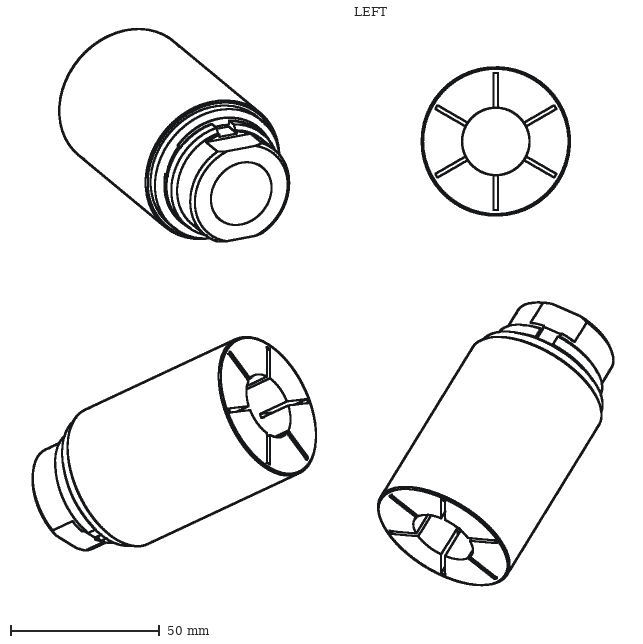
import cadquery as cq
import math

length = 90.2
body_end = 68.4
collar_end = 71.7
groove_floor_end = 73.6
groove_end = 74.0
land_end = 77.7
flat_start = 80.2

bore_radius = 22.6 / 2
body_radius = 50.0 / 2
collar_radius = 46.7 / 2
groove_radius = 19.3
land_radius = 20.1
neck_radius = 18.5

body_chamfer = 0.5
end_chamfer = 1.2
land_chamfer = land_radius - neck_radius
land_chamfer_length = 1.2

slot_count = 6
slot_width = 1.4
slot_reach = 23.1
slot_depth = 12.0

flat_height = 16.5
keyway_height = 17.5
keyway_width = 6.5

wire_radius = 1.3
ring_outer_radius = 20.6
ring_offset = 0.4
ring_x = 72.7
gap_start_angle = 10.6
gap_end_angle = 41.8


def turned_body():
    """Stepped sleeve with a through bore, revolved about the X axis."""
    profile = [
        (0, bore_radius),
        (0, body_radius - body_chamfer),
        (body_chamfer, body_radius),
        (body_end - body_chamfer, body_radius),
        (body_end, body_radius - body_chamfer),
        (body_end, collar_radius),
        (collar_end, collar_radius),
        (collar_end, groove_radius),
        (groove_floor_end, groove_radius),
        (groove_end, land_radius),
        (land_end, land_radius),
        (land_end + land_chamfer_length, land_radius - land_chamfer),
        (length - end_chamfer, neck_radius),
        (length, neck_radius - end_chamfer),
        (length, bore_radius),
    ]
    return cq.Workplane("XY").polyline(profile).close().revolve(360, (0, 0), (1, 0))


def face_slot(angle):
    """Radial slot running from the bore out towards the rim of the face."""
    slot = cq.Workplane("XY").box(slot_depth, slot_width, slot_reach, centered=(False, True, False))
    return slot.rotate((0, 0, 0), (1, 0, 0), angle)


def upper_cut(start, end, width, height):
    """Block that removes everything above the given height."""
    block = cq.Workplane("XY").box(end - start, width, body_radius, centered=(False, True, False))
    return block.translate((start, 0, height))


def retaining_ring():
    """Round wire ring with a radially cut gap on its -Y side."""
    wire_center_radius = ring_outer_radius - wire_radius
    ring = (
        cq.Workplane("XY")
        .center(ring_x, wire_center_radius)
        .circle(wire_radius)
        .revolve(360, (0, -wire_center_radius), (1, -wire_center_radius))
        .translate((0, ring_offset, 0))
    )
    corners = [
        (-body_radius * math.cos(angle), body_radius * math.sin(angle))
        for angle in (math.radians(gap_start_angle), math.radians(gap_end_angle))
    ]
    gap = (
        cq.Workplane("YZ", origin=(ring_x - wire_radius, 0, 0))
        .polyline([(0, 0), *corners])
        .close()
        .extrude(2 * wire_radius)
    )
    return ring.cut(gap)


result = turned_body()

for index in range(slot_count):
    result = result.cut(face_slot(index * 360 / slot_count))

flat = upper_cut(flat_start, length, 2 * neck_radius, flat_height)
keyway = upper_cut(groove_floor_end, flat_start, keyway_width, keyway_height)
for cut in (flat, keyway):
    result = result.cut(cut).cut(cut.mirror("XY"))

result = result.union(retaining_ring())